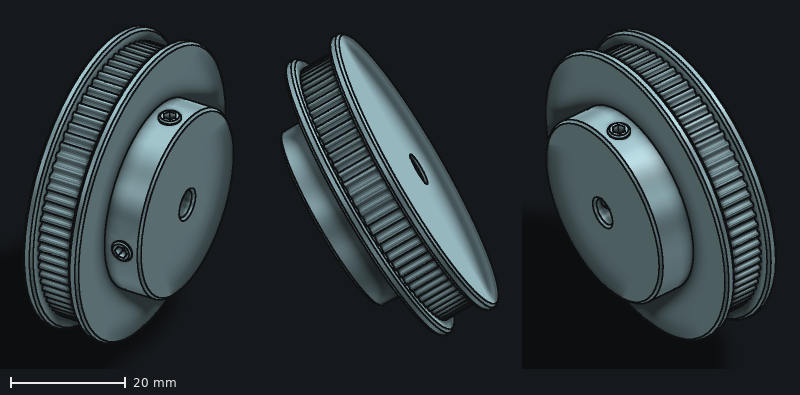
import cadquery as cq
import math


total_length = 18.0
flange_width = 2.0
belt_width = 7.05
edge_chamfer = 0.5

flange_diameter = 55.0
toothed_diameter = 50.45
hub_diameter = 35.0
bore_diameter = 5.0

tooth_count = 80
groove_depth = 0.7
groove_radius = 0.55
tip_radius = 0.2

screw_diameter = 4.0
screw_face_diameter = 3.3
screw_protrusion = 0.5
screw_clearance = 0.05
socket_across_flats = 2.05
socket_depth = 2.0
socket_cone_depth = 0.55
socket_tip_diameter = 0.2
screw_angles = (0, 90)

belt_end = flange_width + belt_width
hub_start = belt_end + flange_width
screw_x = (hub_start + total_length) / 2
bore_radius = bore_diameter / 2
screw_tip = bore_radius + screw_clearance
screw_top = hub_diameter / 2 + screw_protrusion


def disc(start, end, diameter):
    """Round disc about the X axis between two X positions."""
    return cq.Workplane("YZ", origin=(start, 0, 0)).circle(diameter / 2).extrude(end - start)


def flange(start):
    """Flange with both rim edges chamfered."""
    return disc(start, start + flange_width, flange_diameter).edges().chamfer(edge_chamfer)


def polar(radius, angle):
    """Outline point at a distance from the axis and an angle in radians."""
    return (radius * math.cos(angle), radius * math.sin(angle))


def tip_round_point(center_x, center_y, direction):
    """Distance from the axis and angle of the tip-round point lying in a direction from its center."""
    x = center_x + tip_radius * math.cos(direction)
    y = center_y + tip_radius * math.sin(direction)
    return math.hypot(x, y), math.atan2(y, x)


def toothed_rim():
    """Belt seat: each groove arc runs through two tip rounds into the lands beside it."""
    outer_radius = toothed_diameter / 2
    root_radius = outer_radius - groove_depth
    groove_center = root_radius + groove_radius
    tip_center = outer_radius - tip_radius
    center_distance = groove_radius + tip_radius
    pitch_angle = 2 * math.pi / tooth_count

    tip_angle = math.acos(
        (groove_center**2 + tip_center**2 - center_distance**2) / (2 * groove_center * tip_center)
    )
    tip_x, tip_y = polar(tip_center, tip_angle)
    to_groove = math.atan2(-tip_y, groove_center - tip_x)
    touch_radius, touch_angle = tip_round_point(tip_x, tip_y, to_groove)
    middle_radius, middle_angle = tip_round_point(tip_x, tip_y, (to_groove + tip_angle) / 2)

    outline = (
        cq.Workplane("YZ", origin=(flange_width, 0, 0))
        .moveTo(*polar(touch_radius, -touch_angle))
    )
    for tooth in range(tooth_count):
        groove_angle = tooth * pitch_angle
        next_angle = groove_angle + pitch_angle
        outline = (
            outline
            .threePointArc(polar(root_radius, groove_angle), polar(touch_radius, groove_angle + touch_angle))
            .threePointArc(
                polar(middle_radius, groove_angle + middle_angle),
                polar(outer_radius, groove_angle + tip_angle),
            )
            .threePointArc(
                polar(outer_radius, groove_angle + pitch_angle / 2),
                polar(outer_radius, next_angle - tip_angle),
            )
            .threePointArc(
                polar(middle_radius, next_angle - middle_angle),
                polar(touch_radius, next_angle - touch_angle),
            )
        )
    return outline.close().extrude(belt_width)


def bore():
    """Through bore with a chamfer at both ends."""
    mouth_radius = bore_radius + edge_chamfer
    return (
        cq.Workplane("XY")
        .polyline([
            (0, 0),
            (0, mouth_radius),
            (edge_chamfer, bore_radius),
            (total_length - edge_chamfer, bore_radius),
            (total_length, mouth_radius),
            (total_length, 0),
        ])
        .close()
        .revolve(360, (0, 0, 0), (1, 0, 0))
    )


def screw_hole(angle):
    """Radial hole from the bore out through the hub."""
    hole = (
        cq.Workplane("XY", origin=(screw_x, 0, 0))
        .circle(screw_diameter / 2)
        .extrude(screw_top)
    )
    return hole.rotate((0, 0, 0), (1, 0, 0), angle)


def make_pulley():
    hub = disc(hub_start, total_length, hub_diameter).faces(">X").edges().chamfer(edge_chamfer)
    body = toothed_rim().union(flange(0)).union(flange(belt_end)).union(hub).cut(bore())
    for angle in screw_angles:
        body = body.cut(screw_hole(angle))
    return body


def make_set_screw(angle):
    """Headless screw with a chamfered top and a hexagon socket ending in a blunt drill cone."""
    socket_diameter = socket_across_flats / math.cos(math.pi / 6)
    screw = (
        cq.Workplane("XY", origin=(screw_x, 0, screw_tip))
        .circle(screw_diameter / 2)
        .extrude(screw_top - screw_tip)
        .faces(">Z")
        .edges()
        .chamfer((screw_diameter - screw_face_diameter) / 2)
    )
    socket = (
        cq.Workplane("XY", origin=(screw_x, 0, screw_top))
        .polygon(6, socket_diameter)
        .extrude(-socket_depth)
    )
    cone = cq.Workplane("XY").add(
        cq.Solid.makeCone(
            socket_across_flats / 2,
            socket_tip_diameter / 2,
            socket_cone_depth,
            pnt=cq.Vector(screw_x, 0, screw_top - socket_depth),
            dir=cq.Vector(0, 0, -1),
        )
    )
    return screw.cut(socket).cut(cone).rotate((0, 0, 0), (1, 0, 0), angle)


pulley = make_pulley()
set_screws = [make_set_screw(angle) for angle in screw_angles]
result = cq.Compound.makeCompound([pulley.val(), *[screw.val() for screw in set_screws]])